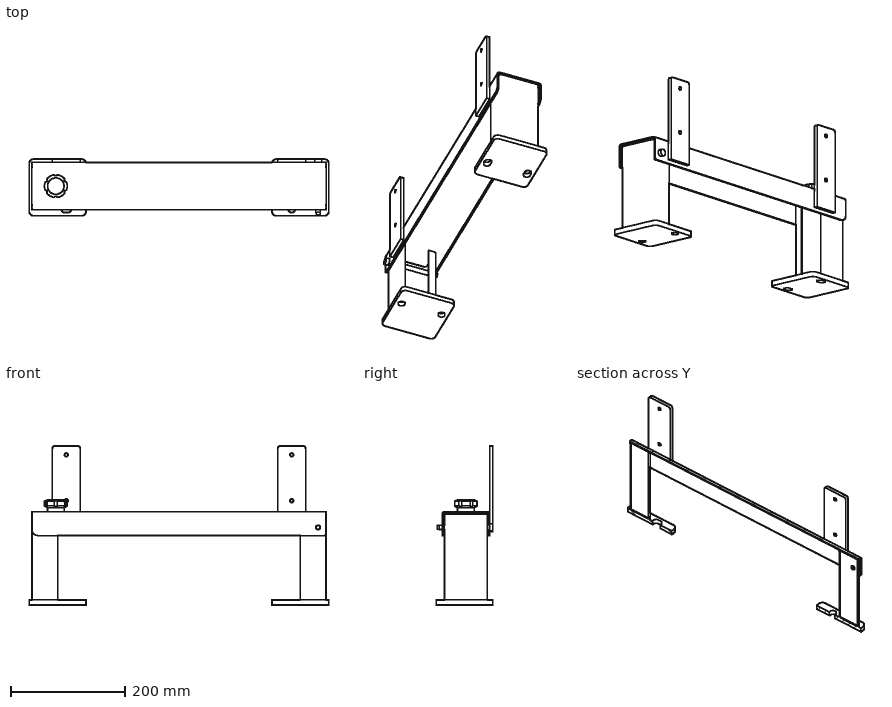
import cadquery as cq

TOTAL_LENGTH = 525.0
TOTAL_HEIGHT = 279.0

PLATE_SIZE = 100.0
PLATE_THICKNESS = 9.0
PLATE_CORNER_RADIUS = 8.0
PLATE_CENTRE_X = (TOTAL_LENGTH - PLATE_SIZE) / 2
BOLT_HOLE_DIAMETER = 12.0
BOLT_HOLE_X = 197.5
BOLT_HOLE_Y = 38.0
SLOT_LENGTH = 17.5

END_INSET = 5.0
BEAM_LENGTH = TOTAL_LENGTH - 2 * END_INSET
BEAM_CENTRE_Y = 2.35
BEAM_WIDTH = 83.0
BEAM_BACK = BEAM_CENTRE_Y + BEAM_WIDTH / 2
BEAM_FRONT = BEAM_CENTRE_Y - BEAM_WIDTH / 2
BEAM_TOP = 164.0
BEAM_HEIGHT = 42.0
SHEET_THICKNESS = 3.0
BEND_RADIUS = 5.0
LEFT_CORNER_RADIUS = 10.0
RIGHT_CORNER_RADIUS = 3.0

SIDE_CLEARANCE = 0.8
TOP_CLEARANCE = 1.3
POST_DEPTH = 45.0
POST_WIDTH = BEAM_WIDTH - 2 * (SHEET_THICKNESS + SIDE_CLEARANCE)
POST_HEIGHT = BEAM_TOP - SHEET_THICKNESS - TOP_CLEARANCE - PLATE_THICKNESS
POST_WALL = 3.0
POST_RADIUS = 6.0
POST_OPENING = 44.5
POST_CENTRE_X = BEAM_LENGTH / 2 - POST_DEPTH / 2

BRACKET_WIDTH = 49.5
BRACKET_HEIGHT = 150.0
BRACKET_CORNER_RADIUS = 5.0
BRACKET_CENTRE_X = 197.5
BRACKET_HOLE_DIAMETER = 6.0
BRACKET_HOLE_SPACING = 80.5
BRACKET_TOP_HOLE_DROP = 16.0
BRACKET_BACK = PLATE_SIZE / 2
BRACKET_THICKNESS = BRACKET_BACK - BEAM_BACK

KNOB_X = -216.0
KNOB_NECK_DIAMETER = 30.0
KNOB_TOP_DIAMETER = 29.0
KNOB_DIAMETER = 40.0
KNOB_NECK_HEIGHT = 7.0
KNOB_RIM_BOTTOM = 10.0
KNOB_RIM_TOP = 18.0
KNOB_HEIGHT = 20.5
KNOB_NOTCHES = 6
KNOB_NOTCH_DIAMETER = 6.0
KNOB_NOTCH_DEPTH = 2.0

PIN_X = 243.5
PIN_Z = 136.0
PIN_DIAMETER = 8.0
PIN_TIP_DIAMETER = 7.0
PIN_HEAD_DIAMETER = 12.0
PIN_SHOULDER_LENGTH = 4.5
PIN_TIP_LENGTH = 4.0


def cylinder_along_y(diameter, x, z, y_start, y_end):
    """Cylinder parallel to Y between two Y positions."""
    start = cq.Vector(x, y_start, z)
    direction = cq.Vector(0, 1, 0)
    return cq.Workplane(cq.Solid.makeCylinder(diameter / 2, y_end - y_start, start, direction))


def make_foot_plate():
    """Square plate with rounded corners, centred on the origin."""
    return (
        cq.Workplane("XY")
        .rect(PLATE_SIZE, PLATE_SIZE)
        .extrude(PLATE_THICKNESS)
        .edges("|Z")
        .fillet(PLATE_CORNER_RADIUS)
    )


def make_post(side):
    """Lipped channel standing on the plate; side is -1 at the left and +1 at the right."""
    outer = (
        cq.Workplane("XY")
        .rect(POST_DEPTH, POST_WIDTH)
        .extrude(POST_HEIGHT)
        .edges("|Z")
        .fillet(POST_RADIUS)
    )
    inner = (
        cq.Workplane("XY")
        .rect(POST_DEPTH - 2 * POST_WALL, POST_WIDTH - 2 * POST_WALL)
        .extrude(POST_HEIGHT)
        .edges("|Z")
        .fillet(POST_RADIUS - POST_WALL)
    )
    opening = (
        cq.Workplane("XY")
        .center(-side * POST_DEPTH / 2, 0)
        .rect(POST_DEPTH, POST_OPENING)
        .extrude(POST_HEIGHT)
    )
    post = outer.cut(inner).cut(opening)
    return post.translate((side * POST_CENTRE_X, BEAM_CENTRE_Y, PLATE_THICKNESS))


def make_leg(side):
    """Foot plate and post in one; slotted bolt holes at the left, round ones at the right."""
    leg = make_foot_plate().translate((side * PLATE_CENTRE_X, 0, 0)).union(make_post(side))
    hole_centres = [(side * BOLT_HOLE_X, y) for y in (-BOLT_HOLE_Y, BOLT_HOLE_Y)]
    holes = cq.Workplane("XY").pushPoints(hole_centres)
    if side < 0:
        holes = holes.slot2D(SLOT_LENGTH, BOLT_HOLE_DIAMETER)
    else:
        holes = holes.circle(BOLT_HOLE_DIAMETER / 2)
    leg = leg.cut(holes.extrude(PLATE_THICKNESS))
    if side > 0:
        leg = leg.cut(cylinder_along_y(PIN_DIAMETER, PIN_X, PIN_Z, BEAM_FRONT, BEAM_BACK))
    return leg


def make_channel():
    """Bent sheet channel with rounded lower corners on its flanges."""
    outer = (
        cq.Workplane("XY")
        .box(BEAM_LENGTH, BEAM_WIDTH, BEAM_HEIGHT)
        .edges("|X and >Z")
        .fillet(BEND_RADIUS)
    )
    inner = (
        cq.Workplane("XY")
        .box(BEAM_LENGTH, BEAM_WIDTH - 2 * SHEET_THICKNESS, BEAM_HEIGHT)
        .edges("|X and >Z")
        .fillet(BEND_RADIUS - SHEET_THICKNESS)
        .translate((0, 0, -SHEET_THICKNESS))
    )
    channel = outer.cut(inner)
    channel = channel.edges("|Y and <Z and <X").fillet(LEFT_CORNER_RADIUS)
    channel = channel.edges("|Y and >X").edges("<Z").fillet(RIGHT_CORNER_RADIUS)
    return channel.translate((0, BEAM_CENTRE_Y, BEAM_TOP - BEAM_HEIGHT / 2))


def make_bracket(side):
    """Upright plate with two holes, against the back of the beam."""
    centre_x = side * BRACKET_CENTRE_X
    centre_y = BEAM_BACK + BRACKET_THICKNESS / 2
    centre_z = TOTAL_HEIGHT - BRACKET_HEIGHT / 2
    bracket = (
        cq.Workplane("XY")
        .box(BRACKET_WIDTH, BRACKET_THICKNESS, BRACKET_HEIGHT)
        .edges("|Y and >Z")
        .fillet(BRACKET_CORNER_RADIUS)
        .translate((centre_x, centre_y, centre_z))
    )
    top_hole_z = TOTAL_HEIGHT - BRACKET_TOP_HOLE_DROP
    for z in (top_hole_z, top_hole_z - BRACKET_HOLE_SPACING):
        bracket = bracket.cut(cylinder_along_y(BRACKET_HOLE_DIAMETER, centre_x, z, BEAM_BACK, BRACKET_BACK))
    return bracket


def make_knob():
    """Turned knob with notches around its rim."""
    knob = (
        cq.Workplane("XZ")
        .polyline(
            [
                (0, 0),
                (KNOB_NECK_DIAMETER / 2, 0),
                (KNOB_NECK_DIAMETER / 2, KNOB_NECK_HEIGHT),
                (KNOB_DIAMETER / 2, KNOB_RIM_BOTTOM),
                (KNOB_DIAMETER / 2, KNOB_RIM_TOP),
                (KNOB_TOP_DIAMETER / 2, KNOB_HEIGHT),
                (0, KNOB_HEIGHT),
            ]
        )
        .close()
        .revolve(360, (0, 0, 0), (0, 1, 0))
    )
    notch_circle_radius = (KNOB_DIAMETER + KNOB_NOTCH_DIAMETER) / 2 - KNOB_NOTCH_DEPTH
    notches = (
        cq.Workplane("XY")
        .polarArray(notch_circle_radius, 90, 360, KNOB_NOTCHES)
        .circle(KNOB_NOTCH_DIAMETER / 2)
        .extrude(KNOB_HEIGHT)
    )
    return knob.cut(notches).translate((KNOB_X, BEAM_CENTRE_Y, BEAM_TOP))


def make_hinge_pin():
    """Pin with a head at the back and a stepped end at the front."""
    shoulder_end = BEAM_FRONT - PIN_SHOULDER_LENGTH
    head = cylinder_along_y(PIN_HEAD_DIAMETER, PIN_X, PIN_Z, BEAM_BACK, BRACKET_BACK)
    shank = cylinder_along_y(PIN_DIAMETER, PIN_X, PIN_Z, shoulder_end, BEAM_BACK)
    tip = cylinder_along_y(PIN_TIP_DIAMETER, PIN_X, PIN_Z, shoulder_end - PIN_TIP_LENGTH, shoulder_end)
    return head.union(shank).union(tip)


def make_beam():
    """Channel with both brackets, the knob and the hinge pin in one."""
    beam = make_channel()
    for side in (-1, 1):
        beam = beam.union(make_bracket(side))
    return beam.union(make_knob()).union(make_hinge_pin())


beam = make_beam()
legs = [make_leg(side) for side in (-1, 1)]

result = cq.Compound.makeCompound([beam.val(), *[leg.val() for leg in legs]])